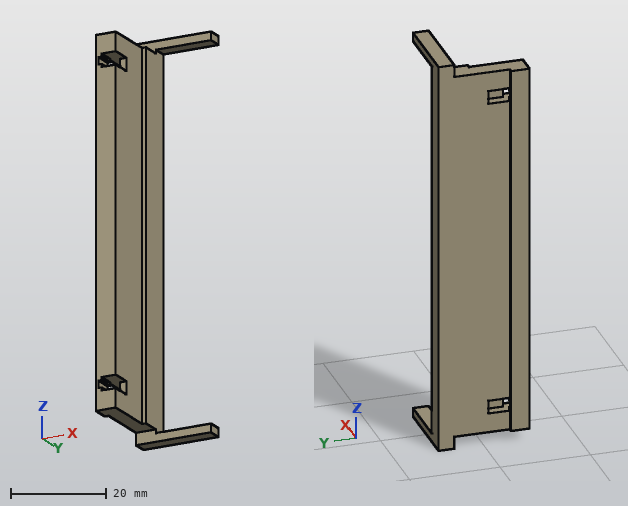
import cadquery as cq

width = 18.8
depth = 19.8
height = 89.3

lip_step = 0.9
lip_depth = 4.1
plate_front_x = 4.7
rib_front_x = 5.6
rib_start_y = depth - 7.95
plate_inset = 2.8

strip_depth = 3.5
strip_start_y = depth - strip_depth
arm_thickness = 2.0

latch_end_offset = 7.15
latch_height = 2.95
notch_back_x = 1.3
notch_depth = 4.8
window_front_x = 3.2
window_end_y = 8.8
groove_back_x = 0.6
groove_height = 1.6


def box(x_range, y_range, z_range):
    """Axis-aligned block spanning the given (low, high) ranges."""
    spans = (x_range, y_range, z_range)
    size = [high - low for low, high in spans]
    corner = tuple(low for low, high in spans)
    return cq.Workplane("XY").box(*size, centered=False).translate(corner)


def make_plate():
    """Stepped plate with a lip on one face and a rib on the other."""
    outline = [
        (0, 0),
        (plate_front_x, 0),
        (plate_front_x, rib_start_y),
        (rib_front_x, rib_start_y),
        (rib_front_x, depth),
        (lip_step, depth),
        (lip_step, lip_depth),
        (0, lip_depth),
    ]
    plate = cq.Workplane("XY").polyline(outline).close().extrude(height - 2 * plate_inset)
    return plate.translate((0, 0, plate_inset))


def make_bracket():
    """Full-height C-shaped strip with an arm at each end."""
    y_range = (strip_start_y, depth)
    strip = box((lip_step, width), y_range, (0, height))
    gap = box((rib_front_x, width), y_range, (arm_thickness, height - arm_thickness))
    return strip.cut(gap)


def make_latch_opening(center_z):
    """Notch at the lip end, joined to a side window and a narrow groove behind it."""
    z_range = (center_z - latch_height / 2, center_z + latch_height / 2)
    groove_z_range = (center_z - groove_height / 2, center_z + groove_height / 2)
    notch = box((notch_back_x, plate_front_x), (0, notch_depth), z_range)
    window = box((lip_step, window_front_x), (lip_depth, window_end_y), z_range)
    groove = box((groove_back_x, notch_back_x), (0, lip_depth), groove_z_range)
    return notch.union(window).union(groove)


result = make_plate().union(make_bracket())
latch_center_z = latch_end_offset + latch_height / 2
for center_z in (latch_center_z, height - latch_center_z):
    result = result.cut(make_latch_opening(center_z))